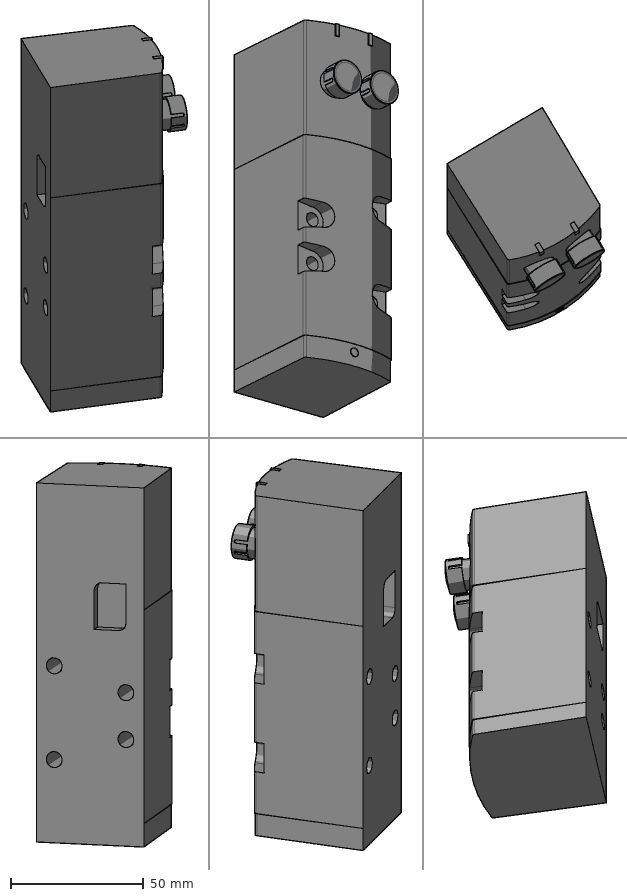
import cadquery as cq
import math

base_width = 42.0
length = 138.0
foot_seam_z = 9.0
head_seam_z = 91.0
shoulder_y = 43.6
shoulder_radius = 1.0
crown_radius = 53.0
middle_crown_y = 48.0
end_crown_y = 47.75
middle_draft = 0.4
end_draft = 0.8

hole_diameter = 5.5
hole_mouth_diameter = 6.1
hole_x = 14.0
valve_middle_z = 50.0
left_hole_offset = 18.0
right_hole_offset = 9.0
recess_diameter = 10.3
recess_mouth_width = 12.0
recess_floor_y = 40.0

pocket_left_x = 1.6
pocket_right_x = 14.0
pocket_bottom_z = 82.7
pocket_top_z = 100.7
pocket_corner_radius = 3.0
pocket_depth = 5.3

tab_x = 7.75
tab_width = 1.8
tab_bottom_y = 43.9
tab_top_y = 47.7
tab_length = 4.9
tab_proud = 0.1
head_end_z = length - tab_proud

button_diameter = 3.5
button_z = 5.6
button_top_y = 48.0
button_root_y = 46.0

cap_x = 8.65
cap_z = 113.7
cap_diameter = 13.4
cap_base_y = 49.0
cap_rim_y = 55.3
cap_top_y = 56.16
rim_chamfer = 0.25
dome_diameter = 11.4
neck_diameter = 11.8
neck_seat_y = 44.5
groove_angle = 20.0
groove_width = 1.3
groove_end_y = 54.1

overshoot = 5.0


def housing_section(bottom_z, top_z, crown_y, draft):
    """A stretch of the housing with drafted sides and an arched crown."""
    half_base = base_width / 2
    half_shoulder = half_base - shoulder_y * math.tan(math.radians(draft))
    edge_drop = crown_radius - math.sqrt(crown_radius**2 - half_shoulder**2)
    arch_edge_y = crown_y - edge_drop
    half_arch = half_base - arch_edge_y * math.tan(math.radians(draft))
    return (
        cq.Workplane("XY", origin=(0, 0, bottom_z))
        .moveTo(-half_base, 0)
        .lineTo(half_base, 0)
        .lineTo(half_arch, arch_edge_y)
        .threePointArc((0, crown_y), (-half_arch, arch_edge_y))
        .close()
        .extrude(top_z - bottom_z)
        .edges("|Z and (not <Y)")
        .fillet(shoulder_radius)
    )


def cylinder_along_y(x, z, diameter, start_y, end_y):
    """Round bar between two Y levels."""
    return (
        cq.Workplane("XZ", origin=(x, start_y, z))
        .circle(diameter / 2)
        .extrude(start_y - end_y)
    )


def screw_hole(side, z):
    """Tapered through hole and its head recess; side is -1 for the -X side, +1 for the +X side."""
    x = side * hole_x
    mouth_x = side * base_width / 2
    half_recess = recess_diameter / 2
    half_mouth = recess_mouth_width / 2
    recess_height = middle_crown_y + overshoot - recess_floor_y
    recess = (
        cq.Workplane("XZ", origin=(0, recess_floor_y, 0))
        .moveTo(mouth_x, z - half_mouth)
        .lineTo(x, z - half_recess)
        .threePointArc((x - side * half_recess, z), (x, z + half_recess))
        .lineTo(mouth_x, z + half_mouth)
        .close()
        .extrude(-recess_height)
    )
    hole = (
        cq.Workplane("XZ", origin=(x, 0, z))
        .circle(hole_mouth_diameter / 2)
        .workplane(offset=-recess_floor_y)
        .circle(hole_diameter / 2)
        .loft()
    )
    return hole.union(recess)


def face_pocket():
    """Blind pocket in the mounting face."""
    width = pocket_right_x - pocket_left_x
    height = pocket_top_z - pocket_bottom_z
    pocket = cq.Workplane("XY").box(width, pocket_depth, height, centered=False)
    pocket = pocket.edges("|Y and <X and >Z").fillet(pocket_corner_radius)
    pocket = pocket.edges("|Y and >X and <Z").fillet(pocket_corner_radius)
    return pocket.translate((pocket_left_x, 0, pocket_bottom_z))


def end_tab(x):
    """Tab let into the end of the head and showing slightly above the crown."""
    tab = cq.Workplane("XY").box(
        tab_width, tab_top_y - tab_bottom_y, tab_length, centered=(True, False, False)
    )
    return tab.translate((x, tab_bottom_y, length - tab_length))


def make_housing():
    """Foot, middle section and head in one piece, with all holes, tabs and the button."""
    foot = housing_section(0, foot_seam_z, end_crown_y, end_draft)
    middle = housing_section(foot_seam_z, head_seam_z, middle_crown_y, middle_draft)
    head = housing_section(head_seam_z, head_end_z, end_crown_y, end_draft)
    housing = foot.union(middle).union(head).clean()
    for side, offset in ((-1, left_hole_offset), (1, right_hole_offset)):
        for direction in (-1, 1):
            housing = housing.cut(screw_hole(side, valve_middle_z + direction * offset))
    housing = housing.cut(face_pocket())
    for side in (-1, 1):
        housing = housing.union(end_tab(side * tab_x))
        socket = cylinder_along_y(side * cap_x, cap_z, neck_diameter, neck_seat_y, cap_base_y)
        housing = housing.cut(socket)
    button = cylinder_along_y(0, button_z, button_diameter, button_root_y, button_top_y)
    housing = housing.union(button)
    return housing


def cap_groove(angle):
    """Axial groove in the cap's skirt, down to the neck, with a round end towards the dome."""
    half_width = groove_width / 2
    tip = groove_end_y - cap_base_y
    straight_length = tip - half_width
    groove = (
        cq.Workplane("YZ")
        .moveTo(0, -half_width)
        .lineTo(straight_length, -half_width)
        .threePointArc((tip, 0), (straight_length, half_width))
        .lineTo(0, half_width)
        .close()
        .extrude(-cap_diameter)
        .translate((0, cap_base_y, 0))
    )
    groove = groove.rotate((0, 0, 0), (0, 1, 0), angle)
    return groove.cut(cylinder_along_y(0, 0, neck_diameter, 0, cap_top_y))


def make_cap(x):
    """Screw cap with its neck, turned about an axis along Y."""
    dome_height = cap_top_y - cap_rim_y
    dome_radius = ((dome_diameter / 2) ** 2 + dome_height**2) / (2 * dome_height)
    mid_angle = math.asin(dome_diameter / 2 / dome_radius) / 2
    dome_middle = (
        dome_radius * math.sin(mid_angle),
        cap_top_y - dome_radius * (1 - math.cos(mid_angle)),
    )
    cap = (
        cq.Workplane("XY")
        .moveTo(0, neck_seat_y)
        .lineTo(neck_diameter / 2, neck_seat_y)
        .lineTo(neck_diameter / 2, cap_base_y)
        .lineTo(cap_diameter / 2, cap_base_y)
        .lineTo(cap_diameter / 2, cap_rim_y - rim_chamfer)
        .lineTo(cap_diameter / 2 - rim_chamfer, cap_rim_y)
        .lineTo(dome_diameter / 2, cap_rim_y)
        .threePointArc(dome_middle, (0, cap_top_y))
        .close()
        .revolve(360, (0, 0, 0), (0, 1, 0))
    )
    for side_angle in (0, 180):
        for angle in (side_angle - groove_angle, side_angle + groove_angle):
            cap = cap.cut(cap_groove(angle))
    return cap.translate((x, 0, cap_z))


housing = make_housing()
caps = [make_cap(side * cap_x) for side in (-1, 1)]

result = cq.Compound.makeCompound([housing.val(), *[cap.val() for cap in caps]])